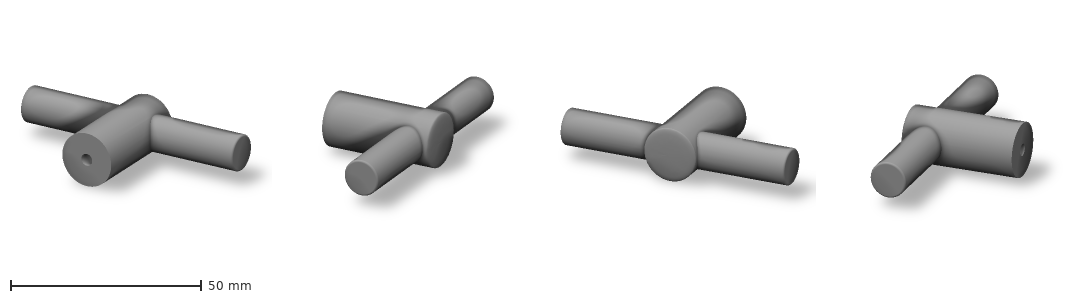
import cadquery as cq
import math

bar_length = 65.0
bar_diameter = 10.0
bar_end_fillet = 0.5

hub_diameter = 15.0
hub_length = 32.0
back_to_bar_axis = 7.0
dome_height = 1.0
dome_fullness = 0.7

hole_diameter = 3.3
hole_depth = 10.0
drill_tip_angle = 120.0

hub_radius = hub_diameter / 2
hub_back = back_to_bar_axis
hub_front = hub_back - hub_length


def make_bar():
    """Round bar with both end rims filleted."""
    bar = cq.Workplane("YZ").circle(bar_diameter / 2).extrude(bar_length / 2, both=True)
    return bar.faces("<X or >X").edges().fillet(bar_end_fillet)


def make_hub():
    """Revolve half of the hub outline, closed by the dome curve, about the Y axis."""
    dome_base = hub_back - dome_height
    dome_curve = [
        (hub_radius, dome_base),
        (hub_radius, dome_base + dome_fullness * dome_height),
        (dome_fullness * hub_radius, hub_back),
        (0, hub_back),
    ]
    return (
        cq.Workplane("XY")
        .moveTo(0, hub_front)
        .lineTo(hub_radius, hub_front)
        .lineTo(hub_radius, dome_base)
        .bezier(dome_curve)
        .close()
        .revolve(360, (0, 0), (0, 1))
    )


def make_hole():
    """Drilled hole with a conical bottom, as a solid to cut away."""
    hole_radius = hole_diameter / 2
    tip_height = hole_radius / math.tan(math.radians(drill_tip_angle / 2))
    return (
        cq.Workplane("XY")
        .moveTo(0, hub_front)
        .lineTo(hole_radius, hub_front)
        .lineTo(hole_radius, hub_front + hole_depth)
        .lineTo(0, hub_front + hole_depth + tip_height)
        .close()
        .revolve(360, (0, 0), (0, 1))
    )


result = make_hub().union(make_bar()).cut(make_hole())